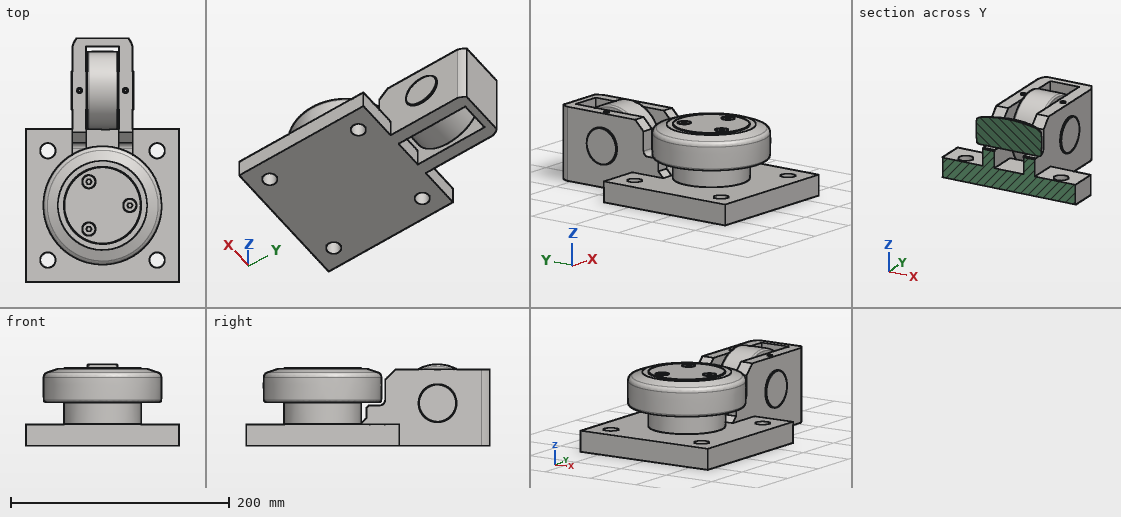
import cadquery as cq
import math

PLATE_SIDE = 140.0
PLATE_THICKNESS = 19.8
MOUNTING_HOLE_DIAMETER = 13.8
MOUNTING_HOLE_SPACING = 100.0

TOTAL_LENGTH = 223
FORK_REAR_Y = TOTAL_LENGTH - PLATE_SIDE / 2
FORK_WIDTH = 55.0
FORK_HEIGHT = 70.0
FORK_REAR_WALL = 7.8
SLOT_WIDTH = 30.0
FORK_FACE_Y = 57.0
FORK_TOP_CHAMFER = 9.5
STEP_FACE_Y = 40.0
STEP_HEIGHT = 37.2
STEP_CORNER_RADIUS = 5.0
STEP_CHAMFER = 2.5
TOE_CHAMFER = 5.5
REAR_CORNER_RADIUS = 17.8
REAR_CORNER_LENGTH = 8.0
REAR_CORNER_INSET = 4.0

SET_SCREW_SPACING = 42.0
SET_SCREW_DIAMETER = 5.0
SET_SCREW_RECESS = 0.5
SET_SCREW_SOCKET_DIAMETER = 3.0
SET_SCREW_SOCKET_DEPTH = 2.2

SIDE_ROLLER_DIAMETER = 71.5
SIDE_ROLLER_CROWN = 0.2
SIDE_ROLLER_WIDTH = 27.9
SIDE_ROLLER_FILLET = 1.5
SIDE_AXIS_Y = 105.0
OVERALL_HEIGHT = 75.0
SIDE_AXIS_Z = OVERALL_HEIGHT - SIDE_ROLLER_DIAMETER / 2
PIN_DIAMETER = 35.0
PIN_LENGTH = 57.5
PIN_CHAMFER = 0.7

JOURNAL_RADIUS = 35.5
JOURNAL_CHAMFER = 0.5
ROLLER_BOTTOM_Z = 40.0
ROLLER_TOP_Z = 70.7
ROLLER_EDGE_RADIUS = 53.7
ROLLER_CROWN = 0.5
ROLLER_FLAT_RADIUS = 40.8
ROLLER_CONE_DROP = 4.5
ROLLER_TOP_FILLET = 5.0
ROLLER_BOTTOM_FILLET = 2.5
COVER_TOP_Z = 71.4
COVER_CHAMFER = COVER_TOP_Z - ROLLER_TOP_Z

EDGE_TOLERANCE = 0.02

COVER_SCREW_COUNT = 3
COVER_SCREW_CIRCLE_RADIUS = 25.0
COVER_SCREW_DIAMETER = 12.5
COVER_SCREW_HEAD_DIAMETER = 11.5
COVER_SCREW_RECESS = 0.5
COVER_SCREW_HEX_DIAMETER = 5.0
COVER_SCREW_HEX_DEPTH = 2.2


def make_plate():
    """Square plate with four through holes near its corners."""
    return (
        cq.Workplane("XY")
        .rect(PLATE_SIDE, PLATE_SIDE)
        .rect(MOUNTING_HOLE_SPACING, MOUNTING_HOLE_SPACING, forConstruction=True)
        .vertices()
        .circle(MOUNTING_HOLE_DIAMETER / 2)
        .extrude(PLATE_THICKNESS)
    )


def make_fork_side_profile():
    """Fork as seen along X, stepped to clear the main bearing and seated on the plate edge."""
    plate_edge = PLATE_SIDE / 2
    return (
        cq.Workplane("YZ")
        .moveTo(FORK_REAR_Y, 0)
        .lineTo(FORK_REAR_Y, FORK_HEIGHT)
        .lineTo(FORK_FACE_Y + FORK_TOP_CHAMFER, FORK_HEIGHT)
        .lineTo(FORK_FACE_Y, FORK_HEIGHT - FORK_TOP_CHAMFER)
        .lineTo(FORK_FACE_Y, STEP_HEIGHT + STEP_CORNER_RADIUS)
        .radiusArc((FORK_FACE_Y - STEP_CORNER_RADIUS, STEP_HEIGHT), STEP_CORNER_RADIUS)
        .lineTo(STEP_FACE_Y + STEP_CHAMFER, STEP_HEIGHT)
        .lineTo(STEP_FACE_Y, STEP_HEIGHT - STEP_CHAMFER)
        .lineTo(STEP_FACE_Y, PLATE_THICKNESS + TOE_CHAMFER)
        .lineTo(STEP_FACE_Y - TOE_CHAMFER, PLATE_THICKNESS)
        .lineTo(plate_edge, PLATE_THICKNESS)
        .lineTo(plate_edge, 0)
        .close()
        .extrude(FORK_WIDTH / 2, both=True)
    )


def make_fork_outline():
    """Fork as seen along Z, with rear corners rounded into the flat rear face."""
    half_width = FORK_WIDTH / 2
    arc_start_y = FORK_REAR_Y - REAR_CORNER_LENGTH
    rear_half_width = half_width - REAR_CORNER_INSET
    return (
        cq.Workplane("XY")
        .moveTo(-half_width, 0)
        .lineTo(-half_width, arc_start_y)
        .radiusArc((-rear_half_width, FORK_REAR_Y), REAR_CORNER_RADIUS)
        .lineTo(rear_half_width, FORK_REAR_Y)
        .radiusArc((half_width, arc_start_y), REAR_CORNER_RADIUS)
        .lineTo(half_width, 0)
        .close()
        .extrude(FORK_HEIGHT)
    )


def make_fork():
    """Fork with its slot, the pin bore and the two set screws."""
    slot_length = FORK_REAR_Y - FORK_REAR_WALL
    slot = cq.Workplane("XY").box(SLOT_WIDTH, slot_length, FORK_HEIGHT, centered=(True, False, False))
    pin_bore = (
        cq.Workplane("YZ")
        .center(SIDE_AXIS_Y, SIDE_AXIS_Z)
        .circle(PIN_DIAMETER / 2)
        .extrude(FORK_WIDTH / 2, both=True)
    )
    fork = make_fork_side_profile().intersect(make_fork_outline()).cut(slot).cut(pin_bore)
    for x in (-SET_SCREW_SPACING / 2, SET_SCREW_SPACING / 2):
        fork = fork.cut(make_set_screw_recess(x))
    return fork


def make_set_screw_recess(x):
    """Shallow round recess over a set screw and the conical socket in its head."""
    top = cq.Workplane("XY", origin=(x, SIDE_AXIS_Y, FORK_HEIGHT))
    recess = top.circle(SET_SCREW_DIAMETER / 2).extrude(-SET_SCREW_RECESS)
    socket = cq.Solid.makeCone(
        SET_SCREW_SOCKET_DIAMETER / 2,
        0,
        SET_SCREW_SOCKET_DEPTH,
        pnt=cq.Vector(x, SIDE_AXIS_Y, FORK_HEIGHT - SET_SCREW_RECESS),
        dir=cq.Vector(0, 0, -1),
    )
    return recess.union(socket)


class RimSelector(cq.Selector):
    """Picks the circular edge of the bearing roller's rim at a given height."""

    def __init__(self, height):
        self.height = height

    def filter(self, edges):
        return [edge for edge in edges if edge.geomType() == "CIRCLE" and self.is_rim(edge)]

    def is_rim(self, edge):
        same_radius = math.isclose(edge.radius(), ROLLER_EDGE_RADIUS, abs_tol=EDGE_TOLERANCE)
        same_height = math.isclose(edge.Center().z, self.height, abs_tol=EDGE_TOLERANCE)
        return same_radius and same_height


def make_bearing():
    """Main bearing turned as one profile, with the cover screws cut into its top."""
    corner_z = ROLLER_TOP_Z - ROLLER_CONE_DROP
    middle_z = (ROLLER_BOTTOM_Z + corner_z) / 2
    bearing = (
        cq.Workplane("XZ")
        .moveTo(0, PLATE_THICKNESS)
        .lineTo(JOURNAL_RADIUS - JOURNAL_CHAMFER, PLATE_THICKNESS)
        .lineTo(JOURNAL_RADIUS, PLATE_THICKNESS + JOURNAL_CHAMFER)
        .lineTo(JOURNAL_RADIUS, ROLLER_BOTTOM_Z - JOURNAL_CHAMFER)
        .lineTo(JOURNAL_RADIUS - JOURNAL_CHAMFER, ROLLER_BOTTOM_Z)
        .lineTo(ROLLER_EDGE_RADIUS, ROLLER_BOTTOM_Z)
        .threePointArc((ROLLER_EDGE_RADIUS + ROLLER_CROWN, middle_z), (ROLLER_EDGE_RADIUS, corner_z))
        .lineTo(ROLLER_FLAT_RADIUS, ROLLER_TOP_Z)
        .lineTo(JOURNAL_RADIUS, ROLLER_TOP_Z)
        .lineTo(JOURNAL_RADIUS - COVER_CHAMFER, COVER_TOP_Z)
        .lineTo(0, COVER_TOP_Z)
        .close()
        .revolve(360, (0, 0, 0), (0, 1, 0))
    )
    for rim_z, radius in ((ROLLER_BOTTOM_Z, ROLLER_BOTTOM_FILLET), (corner_z, ROLLER_TOP_FILLET)):
        bearing = bearing.edges(RimSelector(rim_z)).fillet(radius)
    for index in range(COVER_SCREW_COUNT):
        angle = index * 2 * math.pi / COVER_SCREW_COUNT
        bearing = bearing.cut(make_cover_screw_recess(angle))
    return bearing


def make_cover_screw_recess(angle):
    """Countersunk rim around a cover screw and the hexagon socket in its head."""
    x = COVER_SCREW_CIRCLE_RADIUS * math.cos(angle)
    y = COVER_SCREW_CIRCLE_RADIUS * math.sin(angle)
    top = cq.Workplane("XY", origin=(x, y, COVER_TOP_Z))
    rim = (
        top.circle(COVER_SCREW_DIAMETER / 2)
        .workplane(offset=-COVER_SCREW_RECESS)
        .circle(COVER_SCREW_HEAD_DIAMETER / 2)
        .loft()
    )
    socket = top.polygon(6, COVER_SCREW_HEX_DIAMETER).extrude(-COVER_SCREW_RECESS - COVER_SCREW_HEX_DEPTH)
    return rim.union(socket)


def make_side_roller():
    """Crowned side roller in one piece with the chamfered pin that carries it."""
    half_width = SIDE_ROLLER_WIDTH / 2
    edge_radius = SIDE_ROLLER_DIAMETER / 2 - SIDE_ROLLER_CROWN
    roller = (
        cq.Workplane("XY")
        .moveTo(-half_width, 0)
        .lineTo(-half_width, edge_radius)
        .threePointArc((0, SIDE_ROLLER_DIAMETER / 2), (half_width, edge_radius))
        .lineTo(half_width, 0)
        .close()
        .revolve(360, (0, 0, 0), (1, 0, 0))
        .edges("%CIRCLE")
        .fillet(SIDE_ROLLER_FILLET)
    )
    pin = (
        cq.Workplane("YZ")
        .circle(PIN_DIAMETER / 2)
        .extrude(PIN_LENGTH / 2, both=True)
        .faces("<X or >X")
        .chamfer(PIN_CHAMFER)
    )
    return roller.union(pin).translate((0, SIDE_AXIS_Y, SIDE_AXIS_Z))


housing = make_plate().union(make_fork())
bearing = make_bearing()
side_roller = make_side_roller()

result = cq.Compound.makeCompound([housing.val(), bearing.val(), side_roller.val()])